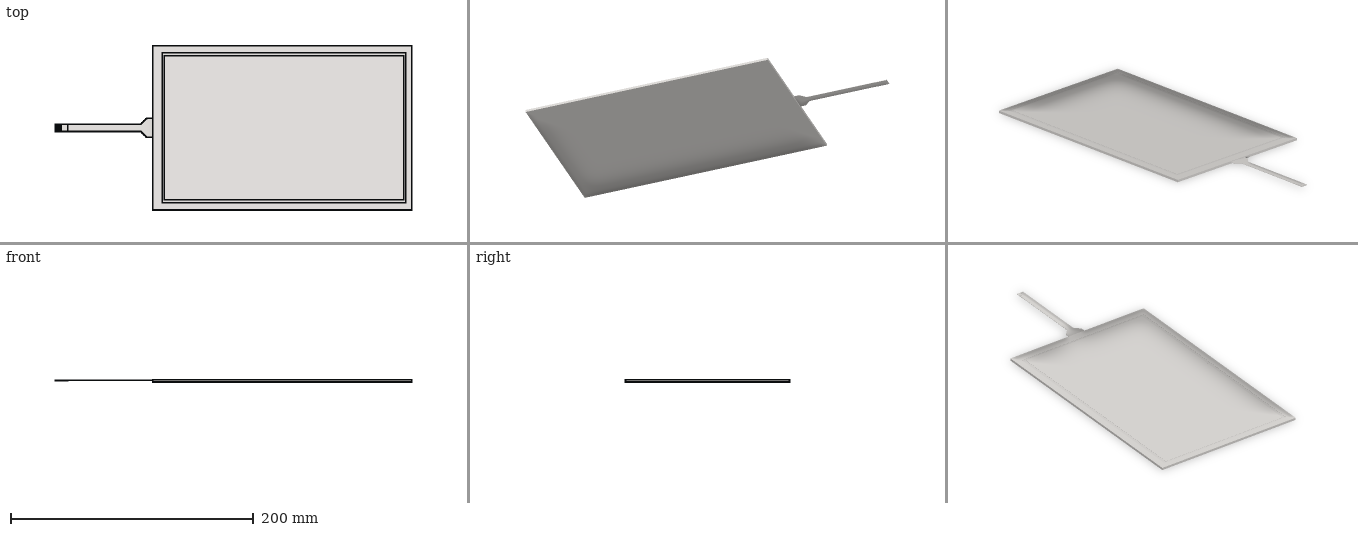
import cadquery as cq

total_length = 294.2
panel_length = 214.0
panel_width = 135.5
panel_thickness = 2.1

groove_depth = 0.15
groove_left = 8.0
groove_right = 5.0
groove_side = 6.0
groove_width_x = 1.8
groove_width_y = 2.6

tail_length = total_length - panel_length
tail_width = 6.2
tail_thickness = 0.3
tail_bottom = 1.32
tail_overlap = 1.5

flare_width = 16.0
flare_length = 9.7
flare_straight = 4.7

contact_count = 4
contact_length = 5.0
contact_width = 1.0
contact_pitch = 1.5
contact_height = 0.05

stiffener_length = 10.3
stiffener_thickness = 0.15


def window(inset_x, inset_y, depth):
    """Rectangular block sunk into the panel top, inset inside the groove outline."""
    length = panel_length - groove_left - groove_right - 2 * inset_x
    width = panel_width - 2 * groove_side - 2 * inset_y
    return cq.Workplane("XY").box(length, width, depth, centered=(False, True, False)).translate(
        (groove_left + inset_x, 0, panel_thickness - depth)
    )


def make_panel():
    panel = cq.Workplane("XY").box(
        panel_length, panel_width, panel_thickness, centered=(False, True, False)
    )
    groove = window(0, 0, groove_depth).cut(window(groove_width_x, groove_width_y, groove_depth))
    return panel.cut(groove)


def make_tail():
    half_tail = tail_width / 2
    half_flare = flare_width / 2
    upper_edge = [
        (tail_overlap, half_flare),
        (-flare_straight, half_flare),
        (-flare_length, half_tail),
        (-tail_length, half_tail),
    ]
    lower_edge = [(x, -y) for x, y in reversed(upper_edge)]
    return (
        cq.Workplane("XY", origin=(0, 0, tail_bottom))
        .polyline(upper_edge + lower_edge)
        .close()
        .extrude(tail_thickness)
    )


def make_contacts():
    return (
        cq.Workplane("XY", origin=(-tail_length + contact_length / 2, 0, tail_bottom + tail_thickness))
        .rarray(3, contact_pitch, 1, contact_count)
        .rect(contact_length, contact_width)
        .extrude(contact_height)
    )


def make_stiffener():
    return cq.Workplane("XY").box(
        stiffener_length, tail_width, stiffener_thickness, centered=(False, True, False)
    ).translate((-tail_length, 0, tail_bottom - stiffener_thickness))


result = make_panel().union(make_tail()).union(make_contacts()).union(make_stiffener())